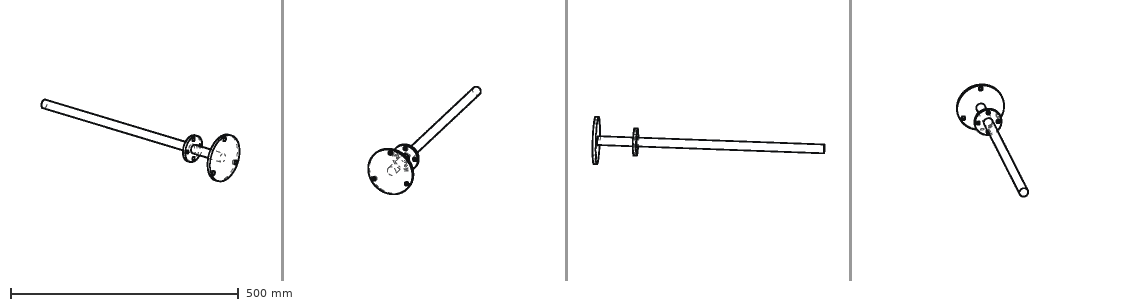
import cadquery as cq

rod_diameter = 20
rod_length = 500

flange_diameter = 105
flange_thickness = 7
flange_hole_diameter = 9
flange_hole_count = 3
flange_bolt_radius = 45

collar_diameter = 60
collar_thickness = 7
collar_hole_diameter = 8
collar_hole_count = 4
collar_bolt_radius = 22.5
collar_to_flange_gap = 80

collar_start = rod_length - collar_to_flange_gap - collar_thickness
top_hole_angle = 90


def disc(start, diameter, thickness):
    """Solid round disc on the X axis, from start towards +X."""
    return cq.Workplane("YZ", origin=(start, 0, 0)).circle(diameter / 2).extrude(thickness)


def drilled_disc(start, diameter, thickness, hole_diameter, hole_count, bolt_radius):
    """Disc with evenly spaced through holes, the first one at the top (+Z)."""
    holes = (
        cq.Workplane("YZ", origin=(start, 0, 0))
        .polarArray(bolt_radius, top_hole_angle, 360, hole_count)
        .circle(hole_diameter / 2)
        .extrude(thickness)
    )
    return disc(start, diameter, thickness).cut(holes)


rod = disc(0, rod_diameter, rod_length)
collar = drilled_disc(
    collar_start,
    collar_diameter,
    collar_thickness,
    collar_hole_diameter,
    collar_hole_count,
    collar_bolt_radius,
)
flange = drilled_disc(
    rod_length,
    flange_diameter,
    flange_thickness,
    flange_hole_diameter,
    flange_hole_count,
    flange_bolt_radius,
)

result = rod.union(collar).union(flange)